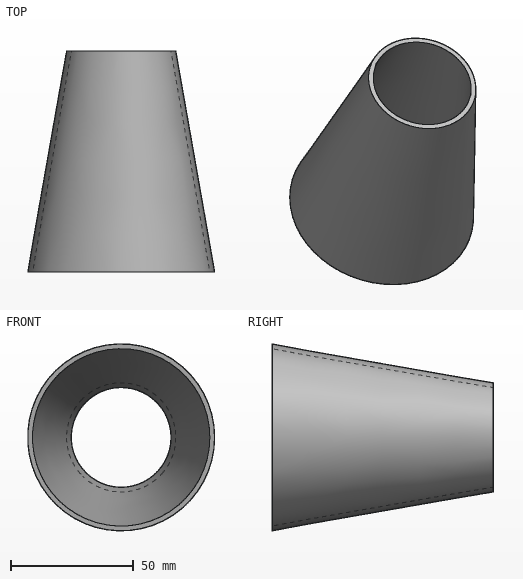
import cadquery as cq

length = 90.0
wide_diameter = 76.1
narrow_diameter = 44.5
wall = 2.0

wide_radius = wide_diameter / 2
narrow_radius = narrow_diameter / 2

wall_section = (
    cq.Workplane("XY")
    .moveTo(wide_radius - wall, 0)
    .lineTo(wide_radius, 0)
    .lineTo(narrow_radius, length)
    .lineTo(narrow_radius - wall, length)
    .close()
)

result = wall_section.revolve(360, (0, 0, 0), (0, 1, 0))